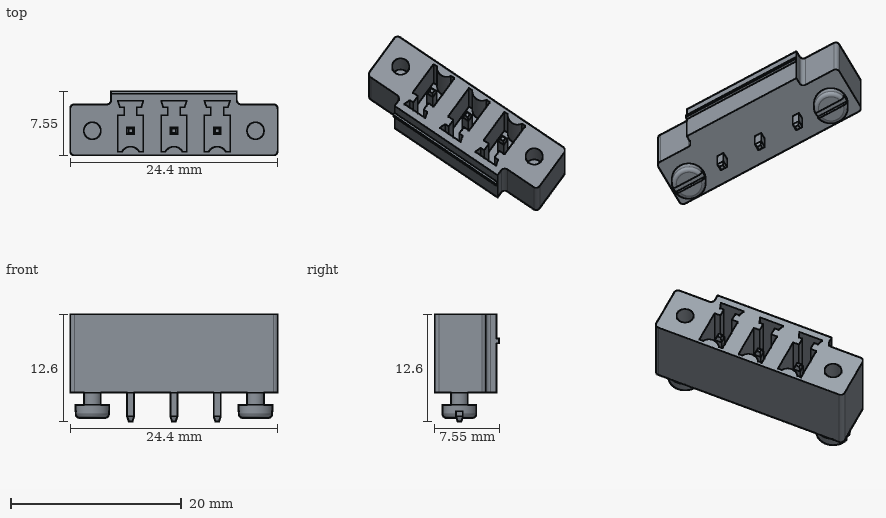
import cadquery as cq

HOUSING_WIDTH = 24.36
HOUSING_HEIGHT = 9.2
WING_DEPTH = 6.0
BLOCK_WIDTH = 14.76
BLOCK_DEPTH = 7.25
CORNER_RADIUS = 0.5

RIB_DEPTH = 0.3
RIB_HEIGHT = 0.6
RIB_TOP_BELOW_FACE = 2.85

CONTACT_PITCH = 5.08
CONTACT_COUNT = 3
CONTACT_Y = 2.9

POCKET_WIDTH = 3.0
POCKET_FRONT_Y = 0.44
POCKET_SHOULDER_Y = 4.69
POCKET_DEPTH = 7.7
NECK_WIDTH = 1.5
DOVETAIL_FRONT_Y = 5.65
DOVETAIL_BACK_Y = 6.4
DOVETAIL_FRONT_WIDTH = 2.5
DOVETAIL_BACK_WIDTH = 3.0
BULGE_WIDTH = 2.0
BULGE_HEIGHT = 0.6

PIN_SIZE = 0.85
PIN_TIP_SIZE = 0.45
PIN_TAPER_LENGTH = 0.6
PIN_PROTRUSION = 3.4
PIN_TOP_BELOW_FACE = 1.35

SCREW_OFFSET = 9.57
SCREW_DIAMETER = 2.0
SHANK_EXPOSED = 1.45
HEAD_DIAMETER = 4.0
HEAD_HEIGHT = 1.55
HEAD_EDGE_RADIUS = 0.5
SLOT_WIDTH = 0.75
SLOT_DEPTH = 0.8
HOLE_DEPTH = HOUSING_HEIGHT / 2

contact_positions = [
    (i - (CONTACT_COUNT - 1) / 2) * CONTACT_PITCH for i in range(CONTACT_COUNT)
]
screw_positions = [-SCREW_OFFSET, SCREW_OFFSET]


def box_from_front(width, depth, height):
    """Box centred on X, with its front at Y = 0 and its underside at Z = 0."""
    return cq.Workplane("XY").box(width, depth, height, centered=(True, False, False))


def make_housing():
    wings = box_from_front(HOUSING_WIDTH, WING_DEPTH, HOUSING_HEIGHT).edges("|Z").fillet(CORNER_RADIUS)
    block = box_from_front(BLOCK_WIDTH, BLOCK_DEPTH, HOUSING_HEIGHT)
    half_block = BLOCK_WIDTH / 2
    margin = CORNER_RADIUS / 2
    inner_corners = cq.selectors.BoxSelector(
        (-half_block - margin, WING_DEPTH - margin, 0),
        (half_block + margin, WING_DEPTH + margin, HOUSING_HEIGHT),
    )
    housing = wings.union(block).edges("|Z").edges(inner_corners).fillet(CORNER_RADIUS)
    rib_bottom = HOUSING_HEIGHT - RIB_TOP_BELOW_FACE - RIB_HEIGHT
    rib = box_from_front(BLOCK_WIDTH, RIB_DEPTH, RIB_HEIGHT).translate((0, BLOCK_DEPTH, rib_bottom))
    return housing.union(rib)


def make_pocket():
    """Keyhole-shaped void with a rounded key at the front and a dovetail at the back."""
    half_width = POCKET_WIDTH / 2
    half_neck = NECK_WIDTH / 2
    half_bulge = BULGE_WIDTH / 2
    return (
        cq.Workplane("XY", origin=(0, 0, HOUSING_HEIGHT - POCKET_DEPTH))
        .moveTo(-half_width, POCKET_FRONT_Y)
        .lineTo(-half_bulge, POCKET_FRONT_Y)
        .threePointArc((0, POCKET_FRONT_Y + BULGE_HEIGHT), (half_bulge, POCKET_FRONT_Y))
        .lineTo(half_width, POCKET_FRONT_Y)
        .lineTo(half_width, POCKET_SHOULDER_Y)
        .lineTo(half_neck, POCKET_SHOULDER_Y)
        .lineTo(half_neck, DOVETAIL_FRONT_Y)
        .lineTo(DOVETAIL_FRONT_WIDTH / 2, DOVETAIL_FRONT_Y)
        .lineTo(DOVETAIL_BACK_WIDTH / 2, DOVETAIL_BACK_Y)
        .lineTo(-DOVETAIL_BACK_WIDTH / 2, DOVETAIL_BACK_Y)
        .lineTo(-DOVETAIL_FRONT_WIDTH / 2, DOVETAIL_FRONT_Y)
        .lineTo(-half_neck, DOVETAIL_FRONT_Y)
        .lineTo(-half_neck, POCKET_SHOULDER_Y)
        .lineTo(-half_width, POCKET_SHOULDER_Y)
        .close()
        .extrude(POCKET_DEPTH)
    )


def make_pin_taper(base_z, tip_z):
    return (
        cq.Workplane("XY", origin=(0, CONTACT_Y, base_z))
        .rect(PIN_SIZE, PIN_SIZE)
        .workplane(offset=tip_z - base_z)
        .rect(PIN_TIP_SIZE, PIN_TIP_SIZE)
        .loft(ruled=True)
    )


def make_pin():
    top_tip_z = HOUSING_HEIGHT - PIN_TOP_BELOW_FACE
    bottom_tip_z = -PIN_PROTRUSION
    shaft_top_z = top_tip_z - PIN_TAPER_LENGTH
    shaft_bottom_z = bottom_tip_z + PIN_TAPER_LENGTH
    shaft = (
        cq.Workplane("XY", origin=(0, CONTACT_Y, shaft_bottom_z))
        .rect(PIN_SIZE, PIN_SIZE)
        .extrude(shaft_top_z - shaft_bottom_z)
    )
    top_taper = make_pin_taper(shaft_top_z, top_tip_z)
    bottom_taper = make_pin_taper(shaft_bottom_z, bottom_tip_z)
    return shaft.union(top_taper).union(bottom_taper)


def make_screw():
    """Exposed part of a slotted screw, hanging from the housing underside."""
    head_bottom_z = -SHANK_EXPOSED - HEAD_HEIGHT
    head = (
        cq.Workplane("XY", origin=(0, CONTACT_Y, head_bottom_z))
        .circle(HEAD_DIAMETER / 2)
        .extrude(HEAD_HEIGHT)
        .faces("<Z")
        .edges()
        .fillet(HEAD_EDGE_RADIUS)
    )
    slot = cq.Workplane("XY", origin=(0, CONTACT_Y, head_bottom_z)).box(
        HEAD_DIAMETER, SLOT_WIDTH, SLOT_DEPTH, centered=(True, True, False)
    )
    shank = (
        cq.Workplane("XY", origin=(0, CONTACT_Y, -SHANK_EXPOSED))
        .circle(SCREW_DIAMETER / 2)
        .extrude(SHANK_EXPOSED)
    )
    return head.cut(slot).union(shank)


def make_screw_hole():
    return (
        cq.Workplane("XY", origin=(0, CONTACT_Y, HOUSING_HEIGHT - HOLE_DEPTH))
        .circle(SCREW_DIAMETER / 2)
        .extrude(HOLE_DEPTH)
    )


result = make_housing()
for x in contact_positions:
    result = result.cut(make_pocket().translate((x, 0, 0)))
    result = result.union(make_pin().translate((x, 0, 0)))
for x in screw_positions:
    result = result.cut(make_screw_hole().translate((x, 0, 0)))
    result = result.union(make_screw().translate((x, 0, 0)))